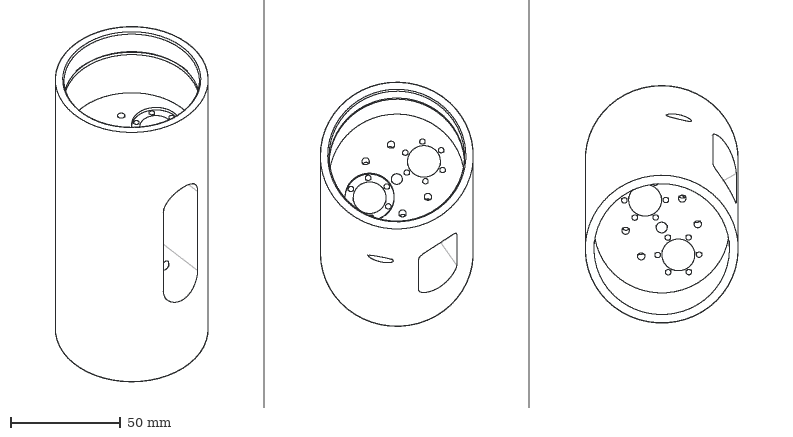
import cadquery as cq

HEIGHT = 158.0
OUTER_DIAMETER = 70.0
MID_HEIGHT = HEIGHT / 2

RECESS_DIAMETER = 62.0
RECESS_DEPTH = 38.0
CORE_TOP = HEIGHT - RECESS_DEPTH
RIM_CHAMFER_WIDTH = 0.6
RIM_CHAMFER_DEPTH = 1.0

GROOVE_DIAMETER = 65.1
GROOVE_WIDTH = 1.9
GROOVE_TOP = HEIGHT - 12.0

SLOT_WIDTH = 21.0
SLOT_LENGTH = 71.1
WEB_THICKNESS = 19.9
SEAT_DIAMETER = 10.0
SEAT_DEPTH = 1.6
SEAT_HEIGHT = 86.1

BORE_DIAMETER = 15.0
BORE_OFFSET = 15.0
RING_HOLE_COUNT = 6
RING_HOLE_DIAMETER = 2.5
RING_DIAMETER = 19.0
COUNTERBORE_DIAMETER = 22.5
COUNTERBORE_DEPTH = 1.6

CENTRE_HOLE_DIAMETER = 5.0
MOUNT_HOLE_DIAMETER = 3.3
MOUNT_SPACING_X = 30.0
MOUNT_SPACING_Y = 14.0

CHANNEL_DIAMETER = 8.0
CHANNEL_OFFSET = 25.0
CHANNEL_HEIGHT = 106.0


def cylinder_z(diameter, bottom, top):
    """Cylinder on the Z axis between two heights."""
    return cq.Workplane("XY").workplane(offset=bottom).circle(diameter / 2).extrude(top - bottom)


def tube_with_core():
    """Tube with a recess at each end, a chamfered upper rim and a ring groove."""
    rim_diameter = RECESS_DIAMETER + 2 * RIM_CHAMFER_WIDTH
    rim_cone = (
        cq.Workplane("XY")
        .workplane(offset=HEIGHT - RIM_CHAMFER_DEPTH)
        .circle(RECESS_DIAMETER / 2)
        .workplane(offset=RIM_CHAMFER_DEPTH)
        .circle(rim_diameter / 2)
        .loft()
    )
    return (
        cylinder_z(OUTER_DIAMETER, 0, HEIGHT)
        .cut(cylinder_z(RECESS_DIAMETER, CORE_TOP, HEIGHT))
        .cut(cylinder_z(RECESS_DIAMETER, 0, RECESS_DEPTH))
        .cut(rim_cone)
        .cut(cylinder_z(GROOVE_DIAMETER, GROOVE_TOP - GROOVE_WIDTH, GROOVE_TOP))
    )


def side_slot(side):
    """Round-ended slot from the web outward; side is -1 for -X and +1 for +X."""
    return (
        cq.Workplane("YZ", origin=(side * WEB_THICKNESS / 2, 0, MID_HEIGHT))
        .slot2D(SLOT_LENGTH, SLOT_WIDTH, 90)
        .extrude(side * OUTER_DIAMETER / 2)
    )


def web_seat():
    """Shallow round seat in the -X face of the web."""
    return (
        cq.Workplane("YZ", origin=(-WEB_THICKNESS / 2, 0, SEAT_HEIGHT))
        .circle(SEAT_DIAMETER / 2)
        .extrude(SEAT_DEPTH)
    )


def core_holes():
    """All holes that run along Z through the core."""
    holes = cylinder_z(CENTRE_HOLE_DIAMETER, 0, HEIGHT)
    for offset in (-BORE_OFFSET, BORE_OFFSET):
        bore = cq.Workplane("XY", origin=(0, offset, 0))
        holes = holes.union(bore.circle(BORE_DIAMETER / 2).extrude(HEIGHT))
        ring = bore.polarArray(RING_DIAMETER / 2, 90, 360, RING_HOLE_COUNT)
        holes = holes.union(ring.circle(RING_HOLE_DIAMETER / 2).extrude(HEIGHT))
    mounts = (
        cq.Workplane("XY")
        .rarray(MOUNT_SPACING_X, MOUNT_SPACING_Y, 2, 2)
        .circle(MOUNT_HOLE_DIAMETER / 2)
        .extrude(HEIGHT)
    )
    return holes.union(mounts)


def bore_counterbore():
    """Shallow counterbore around the +Y bore."""
    centred = cylinder_z(COUNTERBORE_DIAMETER, CORE_TOP - COUNTERBORE_DEPTH, CORE_TOP)
    return centred.translate((0, BORE_OFFSET, 0))


def elbow_channel():
    """Cross hole from the -X side, meeting a hole along Y that opens into the +Y bore."""
    radius = CHANNEL_DIAMETER / 2
    cross_hole = (
        cq.Workplane("YZ", origin=(0, CHANNEL_OFFSET, CHANNEL_HEIGHT))
        .circle(radius)
        .extrude(-OUTER_DIAMETER / 2)
    )
    bore_link = (
        cq.Workplane("ZX", origin=(0, BORE_OFFSET, CHANNEL_HEIGHT))
        .circle(radius)
        .extrude(CHANNEL_OFFSET + radius - BORE_OFFSET)
    )
    return cross_hole.union(bore_link)


result = (
    tube_with_core()
    .cut(side_slot(-1))
    .cut(side_slot(1))
    .cut(web_seat())
    .cut(core_holes())
    .cut(bore_counterbore())
    .cut(elbow_channel())
)